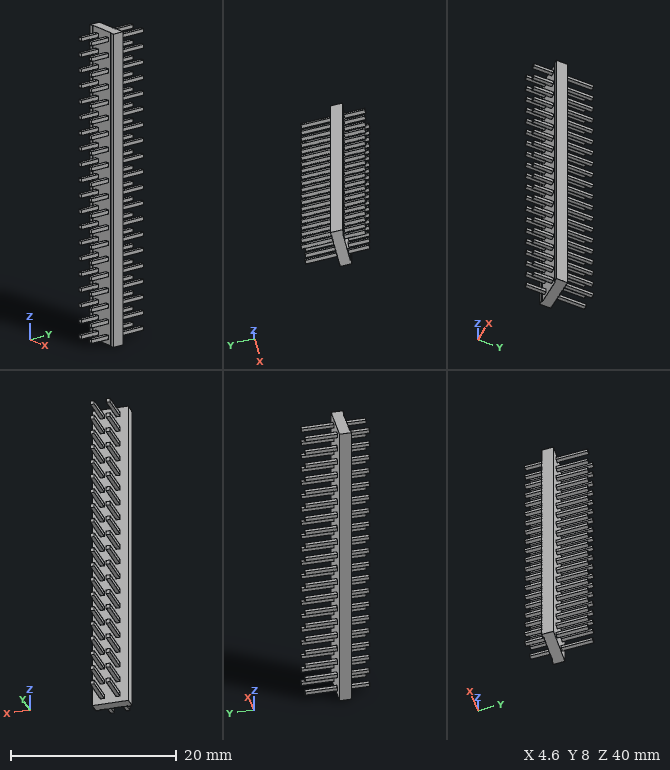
import cadquery as cq

rows = 20
columns = 2
pitch = 2.0
pin_width = pitch / 4
pin_length = 8.0
back_reach = 4.0

body_width = 4.6
body_height = rows * pitch
web_depth = 1.4
rail_height = 0.1
rail_width = 0.55
body_depth = web_depth + rail_height
channel_width = body_width - 2 * rail_width

front_reach = pin_length - body_depth - back_reach


def make_body():
    """Full-height bar with its rail tops on Y = 0 and a shallow channel between the rails."""
    bar = cq.Workplane("XY").box(body_width, body_depth, body_height, centered=(True, False, True))
    channel = cq.Workplane("XY").box(
        channel_width, rail_height, body_height, centered=(True, False, True)
    )
    return bar.cut(channel)


def make_pins():
    """Grid of square pins running through the body along Y."""
    return (
        cq.Workplane("XZ", origin=(0, -front_reach, 0))
        .rarray(pitch, pitch, columns, rows)
        .rect(pin_width, pin_width)
        .extrude(-pin_length)
    )


result = make_body().union(make_pins())